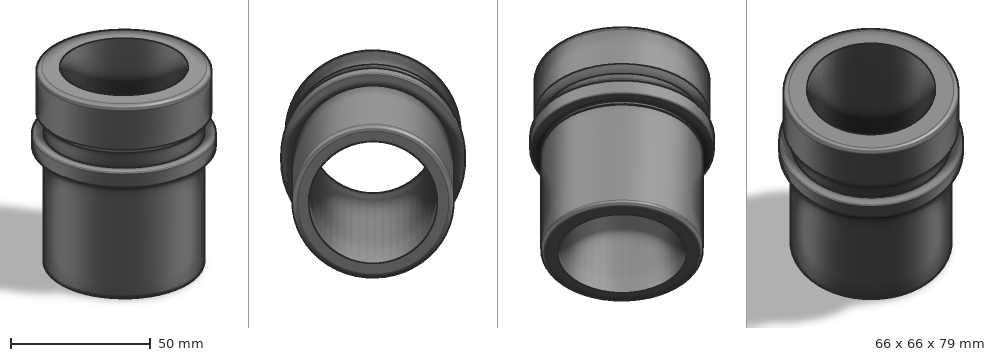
import cadquery as cq

flange_diameter = 66.0
head_diameter = 63.0
body_diameter = 58.0
relief_diameter = 56.7
bore_diameter = 46.0

total_height = 79.0
head_bottom = 61.5
flange_top = 53.0
flange_bottom = 47.0
body_top = 44.9

end_radius = 2.0
rim_radius = 0.5
shoulder_height = 0.9

head_radius = head_diameter / 2
body_radius = body_diameter / 2
flange_radius = flange_diameter / 2
relief_radius = relief_diameter / 2
bore_radius = bore_diameter / 2
neck_top = head_bottom - (head_radius - body_radius)

half_section = (
    cq.Workplane("XZ")
    .moveTo(bore_radius, 0)
    .lineTo(body_radius - end_radius, 0)
    .radiusArc((body_radius, end_radius), -end_radius)
    .lineTo(body_radius, body_top)
    .lineTo(relief_radius, body_top + shoulder_height)
    .lineTo(relief_radius, flange_bottom)
    .lineTo(flange_radius - rim_radius, flange_bottom)
    .radiusArc((flange_radius, flange_bottom + rim_radius), -rim_radius)
    .lineTo(flange_radius, flange_top - rim_radius)
    .radiusArc((flange_radius - rim_radius, flange_top), -rim_radius)
    .lineTo(body_radius, flange_top)
    .lineTo(body_radius, neck_top)
    .lineTo(head_radius, head_bottom)
    .lineTo(head_radius, total_height - end_radius)
    .radiusArc((head_radius - end_radius, total_height), -end_radius)
    .lineTo(bore_radius, total_height)
    .close()
)

result = half_section.revolve(360, (0, 0, 0), (0, 1, 0))